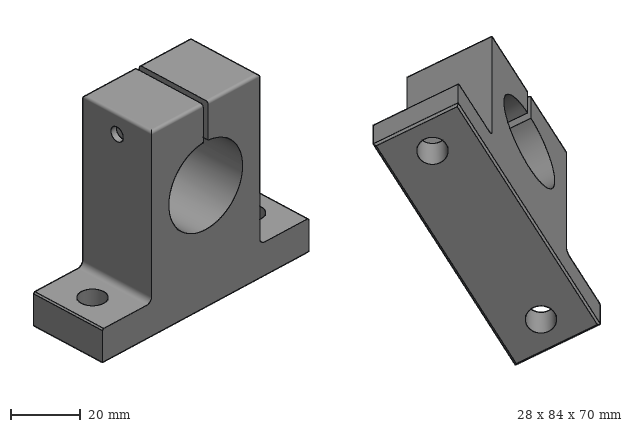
import cadquery as cq

width = 28.0
length = 84.0
height = 70.0
base_height = 12.0
body_length = 44.0

neck_fillet = 2.0
top_fillet = 1.0
rear_end_fillet = 0.8
front_end_chamfer = 0.5
bottom_chamfer = 0.7

bore_diameter = 30.0
bore_height = 42.0
slot_width = 2.0

mount_hole_diameter = 9.0
mount_hole_spacing = 64.0

screw_diameter = 6.0
screw_height = height - 7.0
screw_hole_diameter = 4.95
screw_hole_depth = 2.2


def blank():
    """Inverted-T block with its edges finished."""
    base = cq.Workplane("XY").box(width, length, base_height, centered=(True, True, False))
    body = cq.Workplane("XY").box(width, body_length, height, centered=(True, True, False))
    block = base.union(body)

    neck_edges = cq.selectors.BoxSelector(
        (-width, -body_length / 2 - neck_fillet / 2, base_height - neck_fillet / 2),
        (width, body_length / 2 + neck_fillet / 2, base_height + neck_fillet / 2),
    )
    block = block.edges("|X").edges(neck_edges).fillet(neck_fillet)
    block = block.faces(">Z").edges().fillet(top_fillet)
    block = block.faces(">Y").edges(">Z").fillet(rear_end_fillet)
    block = block.faces("<Y").edges(">Z").chamfer(front_end_chamfer)
    return block.faces("<Z").edges().chamfer(bottom_chamfer)


def shaft_clamp_cut():
    """Bore along X joined to the top by the clamping slot."""
    bore = (
        cq.Workplane("YZ", origin=(-width / 2, 0, bore_height))
        .circle(bore_diameter / 2)
        .extrude(width)
    )
    slot = (
        cq.Workplane("XY")
        .workplane(offset=bore_height)
        .rect(width, slot_width)
        .extrude(height - bore_height)
    )
    return bore.union(slot)


def mounting_holes():
    """Two through holes, one in each foot of the base."""
    return (
        cq.Workplane("XY")
        .rarray(0.8, mount_hole_spacing, 1, 2)
        .circle(mount_hole_diameter / 2)
        .extrude(base_height)
    )


def cylinder_along_y(diameter, start, depth):
    """Cylinder on the screw axis, running toward +Y from Y = start."""
    axis_start = cq.Vector(0, start, screw_height)
    return cq.Workplane(cq.Solid.makeCylinder(diameter / 2, depth, axis_start, cq.Vector(0, 1, 0)))


screw_shank = cylinder_along_y(screw_diameter, -slot_width, 2 * slot_width)
screw_hole = cylinder_along_y(screw_hole_diameter, -body_length / 2, screw_hole_depth)

result = blank().cut(shaft_clamp_cut()).cut(mounting_holes()).union(screw_shank).cut(screw_hole)